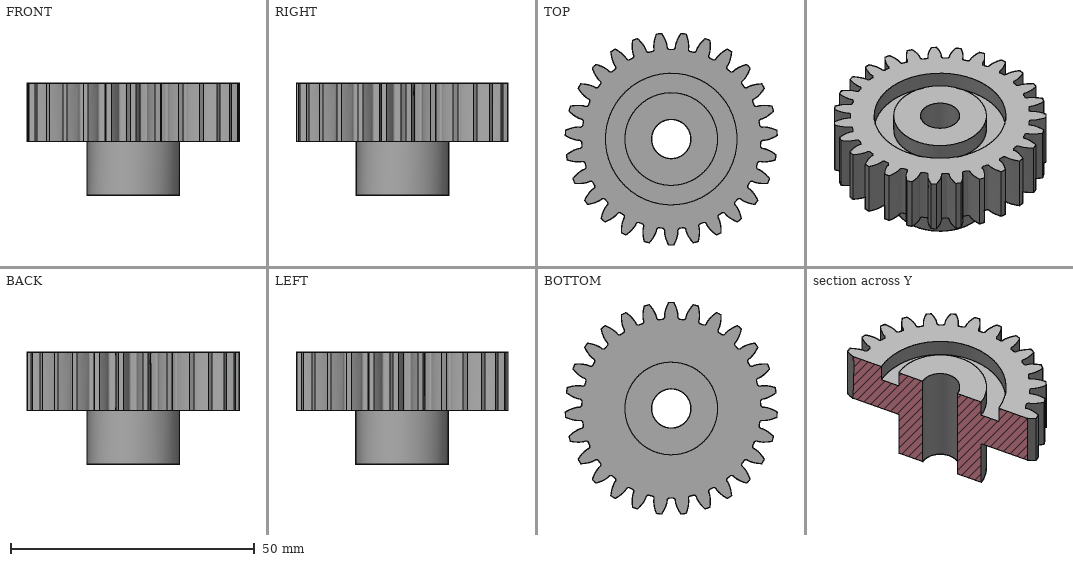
import cadquery as cq
import math

outer_width = 43.5
tooth_count = 27
pressure_angle = math.radians(20)
addendum_ratio = 1.0
dedendum_ratio = 1.25
root_fillet = 0.5
rim_thickness = 12.0
hub_length = 11.0
hub_diameter = 19.0
bore_diameter = 8.0
recess_diameter = 27.0
recess_depth = 3.75
flank_points = 6


def involute(angle):
    """Polar angle of an involute at the given pressure angle."""
    return math.tan(angle) - angle


tooth_pitch = 2 * math.pi / tooth_count
base_half_angle = tooth_pitch / 4 + involute(pressure_angle)
base_to_tip = math.cos(pressure_angle) * tooth_count / (tooth_count + 2 * addendum_ratio)
tip_half_angle = base_half_angle - involute(math.acos(base_to_tip))

first_tooth_angle = -math.pi / 2
tip_radius = outer_width / 2 / math.cos(tooth_pitch / 4 - tip_half_angle)
module = 2 * tip_radius / (tooth_count + 2 * addendum_ratio)
pitch_radius = module * tooth_count / 2
base_radius = pitch_radius * math.cos(pressure_angle)
root_radius = pitch_radius - dedendum_ratio * module

fillet_center_radius = root_radius + root_fillet
fillet_angle = math.asin(root_fillet / fillet_center_radius)
fillet_top_radius = fillet_center_radius * math.cos(fillet_angle)


def polar(radius, angle):
    """Point at a radius and angle around the gear axis."""
    return (radius * math.cos(angle), radius * math.sin(angle))


def flank(center_angle, side):
    """Involute points from base circle to tip; side is -1 or 1."""
    points = []
    for i in range(flank_points):
        radius = base_radius + (tip_radius - base_radius) * i / (flank_points - 1)
        half_angle = base_half_angle - involute(math.acos(base_radius / radius))
        points.append(polar(radius, center_angle + side * half_angle))
    return points


def fillet_middle(center_angle, side):
    """Middle point of the root fillet on one side of a tooth."""
    center_direction = center_angle + side * (base_half_angle + fillet_angle)
    center_x, center_y = polar(fillet_center_radius, center_direction)
    arc_direction = center_direction + math.pi + side * (math.pi / 2 - fillet_angle) / 2
    offset_x, offset_y = polar(root_fillet, arc_direction)
    return (center_x + offset_x, center_y + offset_y)


def gear_outline():
    """Closed outline of the whole gear, tooth by tooth."""
    foot_angle = base_half_angle + fillet_angle
    outline = cq.Workplane("XY").moveTo(*polar(root_radius, first_tooth_angle - foot_angle))
    for i in range(tooth_count):
        center = first_tooth_angle + i * tooth_pitch
        rising = flank(center, -1)
        falling = flank(center, 1)[::-1]
        fillet_end = polar(fillet_top_radius, center - base_half_angle)
        outline = outline.threePointArc(fillet_middle(center, -1), fillet_end)
        outline = outline.lineTo(*rising[0])
        outline = outline.spline(rising[1:], includeCurrent=True)
        outline = outline.threePointArc(polar(tip_radius, center), falling[0])
        outline = outline.spline(falling[1:], includeCurrent=True)
        outline = outline.lineTo(*polar(fillet_top_radius, center + base_half_angle))
        fillet_end = polar(root_radius, center + foot_angle)
        outline = outline.threePointArc(fillet_middle(center, 1), fillet_end)
        root_middle = polar(root_radius, center + tooth_pitch / 2)
        root_end = polar(root_radius, center + tooth_pitch - foot_angle)
        outline = outline.threePointArc(root_middle, root_end)
    return outline.close()


rim = gear_outline().extrude(rim_thickness)

recess_floor = cq.Workplane("XY").workplane(offset=rim_thickness - recess_depth)
recess = recess_floor.circle(recess_diameter / 2).circle(hub_diameter / 2).extrude(recess_depth)

hub = cq.Workplane("XY").circle(hub_diameter / 2).extrude(-hub_length)

bore_start = cq.Workplane("XY").workplane(offset=-hub_length)
bore = bore_start.circle(bore_diameter / 2).extrude(hub_length + rim_thickness)

result = rim.cut(recess).union(hub).cut(bore)